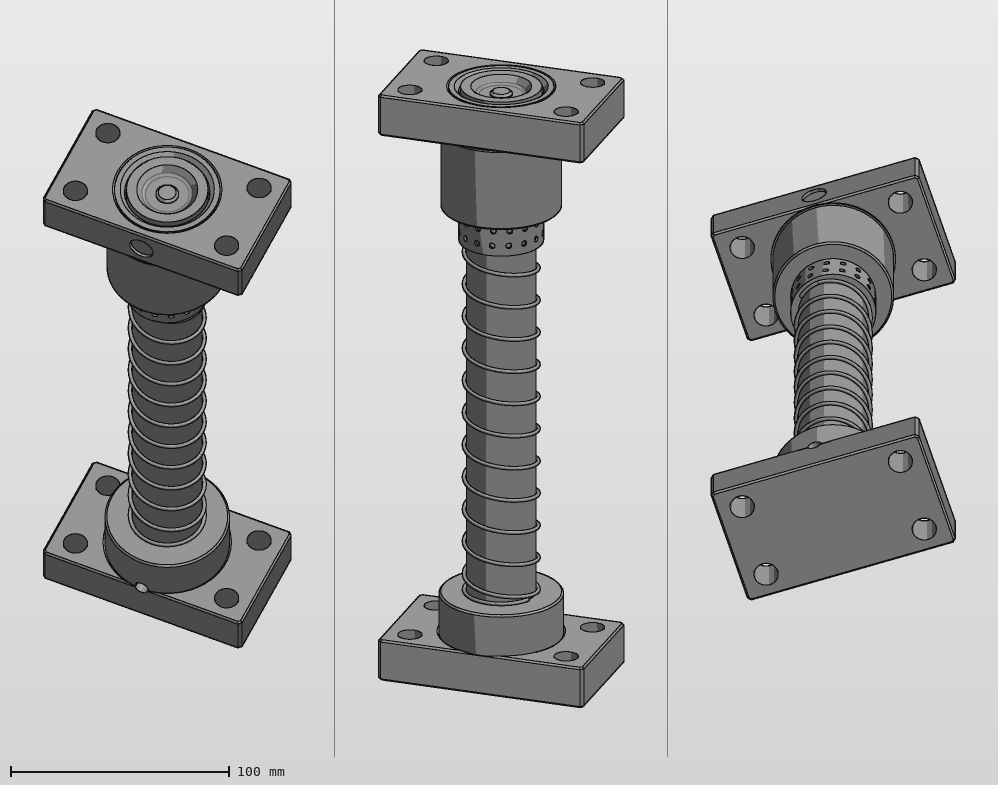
import cadquery as cq
import math

total_height = 290.8
plate_turn = 24.2

plate_length = 99.7
plate_width = 57.5
plate_thickness = 20.0
plate_corner_chamfer = 1.5
plate_face_chamfer = 1.0
screw_hole_radius = 5.5
screw_hole_spacing_x = 76.0
screw_hole_spacing_y = 36.0
side_recess_radius = 5.8
side_recess_depth = 1.5
lock_hole_radius = 3.2

post_radius = 16.0
collar_radius = 28.5
collar_height = 19.8
collar_chamfer = 1.0
collar_seat_depth = 1.0
seat_bevel = 1.0

bush_radius = 27.5
bush_seat_radius = 24.0
bush_rim_radius = collar_radius
bush_rim_thickness = 1.0
bush_length = 60.0
bush_chamfer = 1.0
bush_bore_radius = 19.5
bush_mouth_chamfer = 2.0

cage_radius = bush_bore_radius
cage_bottom = 214.5
pockets_per_row = 16
pocket_radius = 1.3
pocket_depth = 1.2
pocket_row_spacing = 7.3
lowest_row_offset = 5.0
row_start_angles = (9.0, 10.5)

cap_radius = 18.5
cap_thickness = 8.7
dish_top_radius = 14.0
dish_floor_radius = 11.0
dish_depth = 3.8
dish_fillet = 2.0
pin_radius = 5.2
pin_height = 1.5
pin_chamfer = 1.2

wire_radius = 1.0
coil_radius = 17.0
coil_pitch = 16.0
coil_start_angle = 222.0
lower_flat_angle = 318.0
upper_flat_angle = 36.0

upper_plate_bottom = total_height - plate_thickness
collar_bottom = plate_thickness - collar_seat_depth
collar_top = plate_thickness + collar_height
bush_bottom = total_height - bush_length
cap_bottom = total_height - cap_thickness
plate_front = -plate_width / 2


def turned(body):
    """Turn a plate-aligned body to its working angle about the guide axis."""
    return body.rotate((0, 0, 0), (0, 0, 1), plate_turn)


def disc(radius, bottom, top):
    """Solid cylinder on the guide axis between two levels."""
    return cq.Workplane("XY").workplane(offset=bottom).circle(radius).extrude(top - bottom)


def front_bore(radius, depth, level):
    """Cylinder going inward from the plates' front face, on the plate centreline."""
    plane = cq.Plane(origin=(0, plate_front, level), xDir=(1, 0, 0), normal=(0, 1, 0))
    return turned(cq.Workplane(plane).circle(radius).extrude(depth))


def make_plate(bottom):
    """Chamfered block with four screw holes."""
    blank = cq.Workplane("XY").workplane(offset=bottom).rect(plate_length, plate_width)
    blank = blank.extrude(plate_thickness).edges("|Z").chamfer(plate_corner_chamfer)
    blank = blank.faces("<Z or >Z").edges().chamfer(plate_face_chamfer)
    holes = (
        cq.Workplane("XY")
        .workplane(offset=bottom)
        .rect(screw_hole_spacing_x, screw_hole_spacing_y, forConstruction=True)
        .vertices()
        .circle(screw_hole_radius)
        .extrude(plate_thickness)
    )
    return turned(blank.cut(holes))


def make_lock_hole():
    """Radial hole on the joint of lower plate and collar, ending at the post."""
    return front_bore(lock_hole_radius, plate_width / 2 - post_radius, plate_thickness)


def seat_bevel_cone(seat_radius, top):
    """Cone that bevels the rim of a round seat in a plate's top face."""
    base = cq.Vector(0, 0, top - seat_bevel)
    return cq.Workplane(cq.Solid.makeCone(seat_radius, seat_radius + seat_bevel, seat_bevel, base))


def make_lower_plate():
    seat = disc(collar_radius, collar_bottom, plate_thickness)
    bevel = seat_bevel_cone(collar_radius, plate_thickness)
    return make_plate(0).cut(seat).cut(bevel).cut(make_lock_hole())


def make_upper_plate():
    recess_level = total_height - plate_thickness / 2
    recess = front_bore(side_recess_radius, side_recess_depth, recess_level)
    seat = disc(bush_seat_radius, upper_plate_bottom, total_height)
    bevel = seat_bevel_cone(bush_seat_radius, total_height)
    return make_plate(upper_plate_bottom).cut(seat).cut(bevel).cut(recess)


def make_collar():
    collar = disc(collar_radius, collar_bottom, collar_top).faces(">Z").edges().chamfer(collar_chamfer)
    return collar.cut(disc(post_radius, collar_bottom, collar_top)).cut(make_lock_hole())


def make_post():
    return disc(post_radius, collar_bottom, cap_bottom)


def make_bush():
    """Bush seated in the upper plate, with a thin rim under the plate."""
    body = disc(bush_radius, bush_bottom, upper_plate_bottom).faces("<Z").edges().chamfer(bush_chamfer)
    rim = disc(bush_rim_radius, upper_plate_bottom - bush_rim_thickness, upper_plate_bottom)
    seat = disc(bush_seat_radius, upper_plate_bottom, total_height)
    bush = body.union(rim).union(seat).cut(disc(bush_bore_radius, bush_bottom, total_height))
    mouth = bush.faces(">Z").edges(cq.selectors.RadiusNthSelector(0))
    return mouth.chamfer(bush_mouth_chamfer)


def make_cage():
    """Ball cage sleeve with two rows of round pockets below the bush."""
    cage = disc(cage_radius, cage_bottom, cap_bottom).cut(disc(post_radius, cage_bottom, cap_bottom))
    angle_step = 360 / pockets_per_row
    pockets = []
    for row, start_angle in enumerate(row_start_angles):
        level = cage_bottom + lowest_row_offset + row * pocket_row_spacing
        for index in range(pockets_per_row):
            angle = math.radians(start_angle + index * angle_step)
            inward = cq.Vector(-math.cos(angle), -math.sin(angle), 0)
            start = inward * -cage_radius + cq.Vector(0, 0, level)
            pockets.append(cq.Solid.makeCylinder(pocket_radius, pocket_depth, start, inward))
    return cage.cut(cq.Workplane(cq.Compound.makeCompound(pockets)))


def make_cap():
    """End cap with a dished top and a seat for the pin."""
    floor_level = total_height - dish_depth
    dish = cq.Workplane(
        cq.Solid.makeCone(dish_floor_radius, dish_top_radius, dish_depth, cq.Vector(0, 0, floor_level))
    )
    dish = dish.faces("<Z").edges().fillet(dish_fillet)
    cap = disc(cap_radius, cap_bottom, total_height).cut(dish)
    return cap.cut(disc(pin_radius, cap_bottom, floor_level))


def make_pin():
    pin_top = total_height - dish_depth + pin_height
    return disc(pin_radius, cap_bottom, pin_top).faces(">Z").edges().chamfer(pin_chamfer)


def flat_turn(level, start_angle, sweep_angle):
    """Flat stretch of spring wire at one level."""
    wire = cq.Workplane("XZ").center(coil_radius, 0).circle(wire_radius)
    turn = wire.revolve(sweep_angle, (-coil_radius, 0, 0), (-coil_radius, 1, 0))
    return turn.rotate((0, 0, 0), (0, 0, 1), start_angle).translate((0, 0, level))


def wire_joint(level, angle):
    """Ball that rounds the bend between the coils and a flat turn."""
    x = coil_radius * math.cos(math.radians(angle))
    y = coil_radius * math.sin(math.radians(angle))
    return cq.Workplane("XY").sphere(wire_radius).translate((x, y, level))


def make_spring():
    """Left-hand coil spring between the collar and the cage."""
    bottom = collar_top + wire_radius
    top = cage_bottom - wire_radius
    height = top - bottom
    end_angle = coil_start_angle - 360 * height / coil_pitch
    helix = cq.Wire.makeHelix(coil_pitch, height, coil_radius, lefthand=True)
    section = cq.Workplane("XZ").center(coil_radius, 0).circle(wire_radius)
    coils = section.sweep(cq.Workplane(helix), isFrenet=True)
    coils = coils.rotate((0, 0, 0), (0, 0, 1), coil_start_angle).translate((0, 0, bottom))
    lower_turn = flat_turn(bottom, coil_start_angle, lower_flat_angle)
    upper_turn = flat_turn(top, end_angle - upper_flat_angle, upper_flat_angle)
    spring = coils.union(wire_joint(bottom, coil_start_angle)).union(wire_joint(top, end_angle))
    return spring.union(lower_turn).union(upper_turn)


lower_plate = make_lower_plate()
collar = make_collar()
post = make_post()
spring = make_spring()
cage = make_cage()
bush = make_bush()
upper_plate = make_upper_plate()
cap = make_cap()
pin = make_pin()

result = cq.Compound.makeCompound(
    [
        lower_plate.val(),
        collar.val(),
        post.val(),
        spring.val(),
        cage.val(),
        bush.val(),
        upper_plate.val(),
        cap.val(),
        pin.val(),
    ]
)